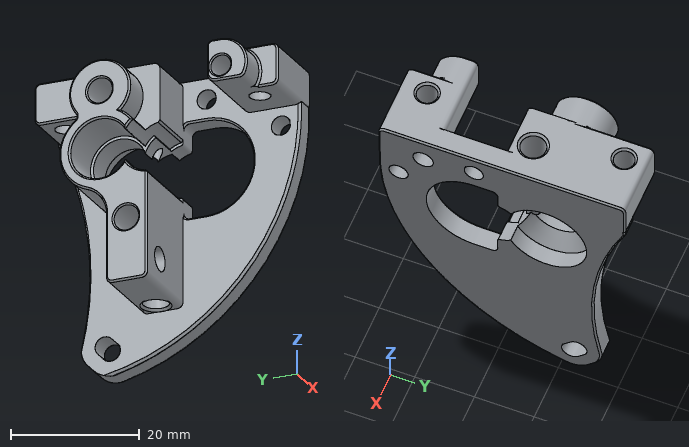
import cadquery as cq
import math


total_depth = 17.5
plate_thickness = 3.6
plate_x = total_depth - plate_thickness
bar_x = 5.0
step_x = 7.86
cone_x = 12.3

top_z = 15.0
bar_bottom_z = 8.0
left_y = 13.3
total_width = 41.36
right_y = left_y - total_width
block_y = -8.05
right_bar_inner_y = -18.2
overlap = 1.0

edge_chamfer = 0.3
rim_chamfer = 0.4
bevel_angle = 45.0
corner_radius = 1.0
opening_corner_radius = 1.0
plate_tip_radius = 0.5
boss_corner_radius = 1.5

rim_radius = 40.0
rim_center = (12.0, 7.0)
waist_radius = 51.0
waist_center = (59.0, -14.67)
foot_radius = 4.0
foot_lower = (4.24, -28.23)
slot_angle = 45.0
slot_length = 1.5
slot_width = 3.2
foot_upper = (
    foot_lower[0] + slot_length * math.cos(math.radians(slot_angle)),
    foot_lower[1] + slot_length * math.sin(math.radians(slot_angle)),
)
opening_center_y = -12.0
opening_radius = 8.0
plate_hole_diameter = 3.2
plate_holes = [(-12.04, 11.5), (-24.65, 4.9)]

bore_radius = 5.0
inner_bore_radius = 4.5
rear_bore_radius = 6.85
cone_end_x = cone_x + rear_bore_radius - inner_bore_radius
gear_center_y = -8.6
gear_radius = 5.0
inner_gear_radius = 4.5
guide_end_angle = 56.0

housing_radius = 6.87
boss_center = (0.0, 9.8)
boss_radius = top_z - boss_center[1]
leg_inner_y = -1.1
leg_bottom_z = -22.95
leg_blend_radius = 5.0
neck_radius = 0.8
main_flare = 0.2

right_boss_center = (-20.53, 10.5)
right_boss_radius = top_z - right_boss_center[1]
right_flare = 0.35

insert_diameter = 4.2
insert_depth = 10.0
drill_tip_angle = 118.0
screw_diameter = 3.4
hole_chamfer = 0.25
top_hole_chamfer = 0.35
top_hole_x = 8.5
top_hole_ys = [9.5, -23.5]
filament_x = 11.5
filament_y = -4.5
filament_diameter = 2.1
tube_diameter = 4.2
tube_seat_z = 7.0
tube_chamfer = 0.4
leg_hole_z = -12.4
cross_hole_diameter = 4.0
cross_hole_x = 5.0
cross_hole_z = -18.2


def box(x, y, z):
    """Box between the given (low, high) limits on each axis."""
    size = (x[1] - x[0], y[1] - y[0], z[1] - z[0])
    return cq.Workplane("XY").box(*size, centered=False).translate((x[0], y[0], z[0]))


def rod(center, radius, x_start, x_end):
    """Cylinder along X about a (y, z) center."""
    return cq.Workplane("YZ", origin=(x_start, 0, 0)).center(*center).circle(radius).extrude(x_end - x_start)


def cone(center, start_radius, end_radius, x_start, x_end):
    """Truncated cone along X about a (y, z) center; a zero end radius gives a point."""
    solid = cq.Solid.makeCone(
        start_radius, end_radius, x_end - x_start, cq.Vector(x_start, *center), cq.Vector(1, 0, 0)
    )
    return cq.Workplane(solid)


def countersunk_rod(center, diameter, x_start, x_end, chamfer):
    """Cutter along X for a hole with a chamfered mouth at its start."""
    radius = diameter / 2
    mouth = cone(center, radius + chamfer, radius, x_start, x_start + chamfer)
    return rod(center, radius, x_start, x_end).union(mouth)


def vertical_hole(x, y, diameter, z_mouth, z_end, chamfer):
    """Cutter along Z for a hole with a mouth chamfer, which may be zero."""
    direction = cq.Vector(0, 0, math.copysign(1, z_end - z_mouth))
    mouth_point = cq.Vector(x, y, z_mouth)
    radius = diameter / 2
    hole = cq.Solid.makeCylinder(radius, abs(z_end - z_mouth), mouth_point, direction)
    if not chamfer:
        return cq.Workplane(hole)
    mouth = cq.Solid.makeCone(radius + chamfer, radius, chamfer, mouth_point, direction)
    return cq.Workplane(hole).union(cq.Workplane(mouth))


def edge_at(y, z):
    """Selector for the edge running along X nearest to (y, z), halfway along the housing."""
    return cq.selectors.NearestToPointSelector((plate_x / 2, y, z))


def on_circle(center, radius, angle):
    """Point on a circle in the YZ plane, with the angle in radians from +Y."""
    return (center[0] + radius * math.cos(angle), center[1] + radius * math.sin(angle))


def bearing_of(start, end):
    """Angle of the direction from one (y, z) point to another."""
    return math.atan2(end[1] - start[1], end[0] - start[0])


def make_plate():
    """Sector-shaped rear plate: concave waist, rounded foot and large convex rim."""
    plate_top_z = bar_bottom_z + 2 * overlap
    waist_end_angle = bearing_of(foot_upper, waist_center)
    rim_end_angle = bearing_of(rim_center, foot_lower)
    foot_flat_angle = math.radians(slot_angle) - math.pi / 2
    waist_start = (left_y, bar_bottom_z)
    waist_mid_angle = (bearing_of(waist_start, waist_center) + waist_end_angle) / 2 + math.pi
    rim_start_angle = -math.pi - math.asin((plate_top_z - rim_center[1]) / rim_radius)
    rim_start = on_circle(rim_center, rim_radius, rim_start_angle)
    rim_mid_angle = (rim_end_angle + rim_start_angle) / 2
    outline = (
        cq.Workplane("YZ", origin=(plate_x, 0, 0))
        .moveTo(*rim_start)
        .lineTo(left_y - edge_chamfer, plate_top_z)
        .lineTo(*waist_start)
        .threePointArc(
            on_circle(waist_center, waist_radius, waist_mid_angle),
            on_circle(foot_upper, foot_radius, waist_end_angle),
        )
        .threePointArc(
            on_circle(foot_upper, foot_radius, (waist_end_angle + foot_flat_angle) / 2),
            on_circle(foot_upper, foot_radius, foot_flat_angle),
        )
        .lineTo(*on_circle(foot_lower, foot_radius, foot_flat_angle))
        .threePointArc(
            on_circle(foot_lower, foot_radius, (foot_flat_angle + rim_end_angle) / 2),
            on_circle(foot_lower, foot_radius, rim_end_angle),
        )
        .threePointArc(
            on_circle(rim_center, rim_radius, rim_mid_angle),
            rim_start,
        )
        .close()
    )
    plate = outline.extrude(plate_thickness)
    plate = plate.faces(">X").edges().chamfer(edge_chamfer)

    chamfer_end_x = plate_x + rim_chamfer
    waist_cut = cone(waist_center, waist_radius + rim_chamfer, waist_radius, plate_x, chamfer_end_x)
    rim_core = cone(rim_center, rim_radius - rim_chamfer, rim_radius, plate_x, chamfer_end_x)
    rim_cut = rod(rim_center, rim_radius + overlap, plate_x, chamfer_end_x).cut(rim_core)
    return plate.cut(waist_cut).cut(rim_cut)


def make_top_strip():
    """Upper band of the plate that joins the two bars."""
    strip = box((plate_x, total_depth), (right_y, left_y), (bar_bottom_z, top_z))
    strip = strip.edges("|X").fillet(corner_radius)
    return strip.faces(">X").edges().chamfer(edge_chamfer)


def make_left_bar():
    """Bar from the plate forward to the face beside the boss."""
    bar = box((bar_x, plate_x + overlap), (boss_center[0], left_y), (bar_bottom_z, top_z))
    bar = bar.edges("|X and >Y").fillet(corner_radius)
    return bar.faces("<X").edges("not(<Y)").chamfer(edge_chamfer)


def boss_flare(center, radius, flare, y_limits):
    """Bevel where a boss meets the front face of a bar, kept below the top chamfer."""
    solid = cone(center, radius, radius + flare, bar_x - flare, bar_x)
    solid = solid.union(rod(center, radius + flare, bar_x, bar_x + edge_chamfer))
    return solid.intersect(box((0, plate_x), y_limits, (bar_bottom_z, top_z - edge_chamfer)))


def make_right_bar():
    """Bar at the right end with its forward boss, flat on the inner side and below."""
    heights = (bar_bottom_z, top_z)
    bar = box((bar_x, plate_x + overlap), (right_y, right_bar_inner_y), heights)
    lower_corner = "|X and >Y and <Z"
    other_corners = "|X and (<Y or >Z)"
    bar = bar.edges(lower_corner).fillet(boss_corner_radius)
    bar = bar.edges(other_corners).fillet(corner_radius)
    bar = bar.faces("<X").edges().chamfer(edge_chamfer)

    boss_end_x = bar_x + overlap
    boss = rod(right_boss_center, right_boss_radius, 0, boss_end_x)
    boss = boss.union(box((0, boss_end_x), (right_boss_center[0], right_bar_inner_y), heights))
    envelope = box((0, boss_end_x), (right_y, right_bar_inner_y), heights)
    boss = boss.intersect(envelope)
    boss = boss.edges(lower_corner).fillet(boss_corner_radius)
    boss = boss.edges("|X and >Y and >Z").fillet(corner_radius)
    boss = boss.edges("|X and <Z and <Y").fillet(corner_radius)
    boss = boss.faces("<X").edges().chamfer(edge_chamfer)

    flare = boss_flare(right_boss_center, right_boss_radius, right_flare, (right_y, right_boss_center[0]))
    return bar.union(boss).union(flare)


def make_housing():
    """Bearing housing with the boss above it and the leg below it, chamfered on the front face."""
    center = (0, 0)
    housing = rod(center, housing_radius, 0, plate_x)
    leg = box((0, plate_x), (block_y, leg_inner_y), (leg_bottom_z, 0))
    leg = leg.edges("|X and <Z").fillet(corner_radius)
    housing = housing.union(leg)
    blend_z = -math.sqrt(housing_radius**2 - leg_inner_y**2)
    housing = housing.edges("|X").edges(edge_at(leg_inner_y, blend_z)).fillet(leg_blend_radius)

    boss = rod(boss_center, boss_radius, 0, plate_x)
    housing = housing.union(boss)
    neck_z = (housing_radius**2 - boss_radius**2 + boss_center[1] ** 2) / (2 * boss_center[1])
    neck_y = math.sqrt(housing_radius**2 - neck_z**2)
    housing = housing.edges("|X").edges(edge_at(neck_y, neck_z)).fillet(neck_radius)

    gear_center = (gear_center_y, 0)
    housing = housing.cut(rod(center, bore_radius, 0, step_x))
    housing = housing.cut(rod(gear_center, gear_radius, 0, step_x))
    housing = housing.faces("<X").edges().chamfer(edge_chamfer)

    flare = boss_flare(boss_center, boss_radius, main_flare, (boss_center[0], left_y))
    return housing.union(flare)


def make_block():
    """Block between the left bar and the gear pocket."""
    block = box((bar_x, plate_x), (block_y, boss_center[0]), (0, top_z))
    return block.edges("|X and <Y and >Z").fillet(corner_radius)


def gear_pocket_cutter():
    """Stepped idler bore and gear pocket, leaving a filament guide between them."""
    center = (0, 0)
    gear_center = (gear_center_y, 0)
    front = rod(center, bore_radius, 0, step_x).union(rod(gear_center, gear_radius, 0, step_x))
    rear = rod(center, inner_bore_radius, 0, total_depth)
    rear = rear.union(cone(center, inner_bore_radius, rear_bore_radius, cone_x, cone_end_x))
    rear = rear.union(rod(center, rear_bore_radius, cone_end_x, total_depth))
    rear = rear.union(rod(gear_center, inner_gear_radius, 0, total_depth))

    reach = 2 * gear_radius
    guide_angle = math.radians(guide_end_angle)
    upper_end = on_circle(gear_center, reach, guide_angle)
    lower_end = on_circle(gear_center, reach, -guide_angle)
    guide_wedge = (
        cq.Workplane("YZ", origin=(step_x, 0, 0))
        .polyline([gear_center, lower_end, upper_end])
        .close()
        .extrude(plate_x - step_x)
    )
    relief = rod(gear_center, gear_radius, step_x, plate_x).cut(guide_wedge)
    return front.union(rear).union(relief)


def opening_profile(grow):
    """Outline of the plate opening on the plate's front face, enlarged all round by grow."""
    radius = opening_radius + grow
    straight_y = block_y + grow
    corner = opening_corner_radius + grow
    corner_y = straight_y - corner
    corner_z = radius - corner
    return (
        cq.Workplane("YZ", origin=(plate_x, 0, 0))
        .moveTo(opening_center_y, radius)
        .threePointArc((opening_center_y - radius, 0), (opening_center_y, -radius))
        .lineTo(corner_y, -radius)
        .threePointArc(on_circle((corner_y, -corner_z), corner, -math.pi / 4), (straight_y, -corner_z))
        .lineTo(straight_y, corner_z)
        .threePointArc(on_circle((corner_y, corner_z), corner, math.pi / 4), (corner_y, radius))
        .close()
    )


def plate_opening_cutter():
    """Large plate opening, flush with the side of the block, with a beveled front edge."""
    opening = opening_profile(0).extrude(plate_thickness)
    bevel = opening_profile(edge_chamfer).extrude(edge_chamfer, taper=bevel_angle)
    reach = opening_radius + overlap
    clear_of_block = box((plate_x, total_depth), (opening_center_y - reach, block_y), (-reach, reach))
    return opening.union(bevel.intersect(clear_of_block))


def make_open_plate():
    """Plate with its large opening, the gear pocket and the rounded tips between the two."""
    plate = make_plate().union(make_top_strip())
    plate = plate.cut(plate_opening_cutter()).cut(gear_pocket_cutter())
    tip_z = math.sqrt(inner_gear_radius**2 - (block_y - gear_center_y) ** 2)
    for side in (1, -1):
        tip = cq.selectors.NearestToPointSelector((plate_x + plate_thickness / 2, block_y, side * tip_z))
        plate = plate.edges("|X").edges(tip).fillet(plate_tip_radius)
    return plate


def pocket_lip_cutter():
    """Bevels where the gear pocket meets the side of the block and of the leg."""
    bevel_y = block_y + edge_chamfer
    bevel_z = math.sqrt(gear_radius**2 - (bevel_y - gear_center_y) ** 2)
    lip_z = gear_radius + edge_chamfer
    return (
        cq.Workplane("YZ")
        .polyline([(block_y, -lip_z), (bevel_y, -bevel_z), (bevel_y, bevel_z), (block_y, lip_z)])
        .close()
        .extrude(plate_x)
    )


def plate_slot_cutter():
    """Slanted mounting slot in the foot of the plate."""
    middle = ((foot_upper[0] + foot_lower[0]) / 2, (foot_upper[1] + foot_lower[1]) / 2)
    return (
        cq.Workplane("YZ", origin=(plate_x, 0, 0))
        .center(*middle)
        .slot2D(slot_length + slot_width, slot_width, slot_angle)
        .extrude(plate_thickness)
    )


def insert_hole_cutter():
    """Blind hole with a drill-point bottom in the main boss."""
    tip = insert_diameter / 2 / math.tan(math.radians(drill_tip_angle / 2))
    hole = countersunk_rod(boss_center, insert_diameter, 0, insert_depth, hole_chamfer)
    return hole.union(cone(boss_center, insert_diameter / 2, 0, insert_depth, insert_depth + tip))


def filament_path_cutter():
    """Vertical filament hole with a tube seat above and below the gear pocket."""
    path = vertical_hole(filament_x, filament_y, filament_diameter, top_z, leg_bottom_z, 0)
    upper_seat = vertical_hole(filament_x, filament_y, tube_diameter, top_z, tube_seat_z, tube_chamfer)
    lower_seat = vertical_hole(
        filament_x, filament_y, tube_diameter, leg_bottom_z, -tube_seat_z, tube_chamfer
    )
    return path.union(upper_seat).union(lower_seat)


def cross_hole_cutter():
    """Hole through the leg along Y."""
    leg = (block_y, leg_inner_y)
    hole = cq.Solid.makeCylinder(
        cross_hole_diameter / 2,
        leg[1] - leg[0],
        cq.Vector(cross_hole_x, leg[0], cross_hole_z),
        cq.Vector(0, 1, 0),
    )
    return cq.Workplane(hole)


def make_part():
    """Join the solid pieces, then cut the bores and holes."""
    part = make_open_plate().union(make_left_bar()).union(make_right_bar())
    part = part.union(make_housing()).union(make_block())
    part = part.cut(gear_pocket_cutter()).cut(pocket_lip_cutter()).cut(plate_slot_cutter())
    part = part.cut(insert_hole_cutter()).cut(filament_path_cutter()).cut(cross_hole_cutter())
    for center in plate_holes:
        part = part.cut(rod(center, plate_hole_diameter / 2, plate_x, total_depth))
    for y in top_hole_ys:
        part = part.cut(vertical_hole(top_hole_x, y, screw_diameter, top_z, bar_bottom_z, top_hole_chamfer))
    part = part.cut(countersunk_rod(right_boss_center, screw_diameter, 0, total_depth, hole_chamfer))
    leg_hole = (filament_y, leg_hole_z)
    part = part.cut(countersunk_rod(leg_hole, insert_diameter, 0, filament_x, hole_chamfer))
    return part


result = make_part()